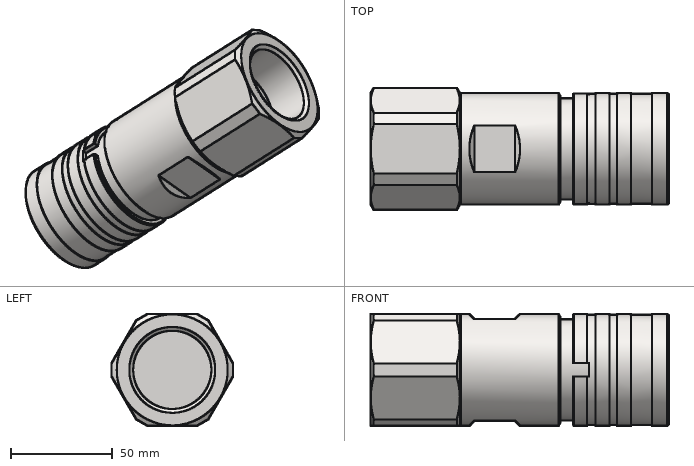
import cadquery as cq
import math

length = 146.8
outer_dia = 55.0
outer_radius = outer_dia / 2
clearance = 1.5
clear_dia = outer_dia + 2 * clearance

hex_length = 44
hex_corner_dia = 59.9
hex_face_radius = 27.3
hex_chamfer_angle = 30
hex_ratio = math.cos(math.radians(30))

bore_dia = 38.5
bore_mouth_dia = 42.3
bore_mouth_depth = 1.6
bore_depth = 22

body_end = 93.4
body_start_chamfer = 0.6
body_end_chamfer_length = 0.9
body_end_chamfer_depth = 1.6
flat_across = 50.1
flat_start = 51.1
flat_length = 20.0

neck_dia = 50

sleeve_start = 99.5
sleeve_start_chamfer = 0.6
sleeve_end_chamfer = 0.9
groove_dia = 54.3
groove_spans = [(106.6, 110.7), (117.5, 121.3), (128.0, 138.5)]

slot_width = 6.8
slot_end = 107.5


def turned(points):
    """Solid of revolution about the X axis from a closed (x, radius) outline."""
    return cq.Workplane("XY").polyline(points).close().revolve(360, (0, 0, 0), (1, 0, 0))


def hex_prism(across_corners):
    """Hexagonal prism along X with two corners on the Y axis."""
    return cq.Workplane("YZ").polygon(6, across_corners).extrude(hex_length)


def cylinder(start, end, dia):
    """Solid cylinder on the X axis."""
    return cq.Workplane("YZ").workplane(offset=start).circle(dia / 2).extrude(end - start)


def ring(start, end, inner_dia):
    """Tube on the X axis that reaches past the outside of the part."""
    return cylinder(start, end, clear_dia).cut(cylinder(start, end, inner_dia))


def hex_end():
    """Hexagon with flats facing Z, corners trimmed flat and both ends turned to a cone."""
    full_corner_dia = outer_dia / hex_ratio
    prism = hex_prism(full_corner_dia)
    trim = hex_prism(hex_corner_dia / hex_ratio).rotate((0, 0, 0), (1, 0, 0), 30)
    blank_radius = full_corner_dia / 2
    cone_length = (blank_radius - hex_face_radius) * math.tan(math.radians(hex_chamfer_angle))
    envelope = turned([
        (0, 0),
        (0, hex_face_radius),
        (cone_length, blank_radius),
        (hex_length - cone_length, blank_radius),
        (hex_length, hex_face_radius),
        (hex_length, 0),
    ])
    return prism.intersect(trim).intersect(envelope)


def body():
    """Plain cylinder, chamfered at both ends."""
    return turned([
        (hex_length, 0),
        (hex_length, outer_radius - body_start_chamfer),
        (hex_length + body_start_chamfer, outer_radius),
        (body_end - body_end_chamfer_length, outer_radius),
        (body_end, outer_radius - body_end_chamfer_depth),
        (body_end, 0),
    ])


def sleeve():
    """Locking sleeve with chamfered ends and shallow grooves."""
    part = (
        cylinder(sleeve_start, length, outer_dia)
        .faces("<X").chamfer(sleeve_start_chamfer)
        .faces(">X").chamfer(sleeve_end_chamfer)
    )
    for start, end in groove_spans:
        part = part.cut(ring(start, end, groove_dia))
    return part


def key_slots():
    """Slots facing -Y and +Y, as deep as the neck."""
    band = ring(sleeve_start, slot_end, neck_dia)
    bar_length = slot_end - sleeve_start
    bar = cq.Workplane("XY").box(bar_length, 2 * outer_dia, slot_width)
    return band.intersect(bar.translate((sleeve_start + bar_length / 2, 0, 0)))


def spanner_flats():
    """Cuts for the top and bottom flats, with 45 degree run-outs."""
    flat_height = flat_across / 2
    flat_end = flat_start + flat_length
    rise = outer_radius - flat_height + clearance
    top = (
        cq.Workplane("XZ")
        .moveTo(flat_start, flat_height)
        .lineTo(flat_end, flat_height)
        .lineTo(flat_end + rise, flat_height + rise)
        .lineTo(flat_start - rise, flat_height + rise)
        .close()
        .extrude(outer_radius, both=True)
    )
    return top.union(top.mirror("XY"))


def bore():
    """Blind bore with a chamfered mouth."""
    return turned([
        (0, 0),
        (0, bore_mouth_dia / 2),
        (bore_mouth_depth, bore_dia / 2),
        (bore_depth, bore_dia / 2),
        (bore_depth, 0),
    ])


result = (
    body()
    .cut(spanner_flats())
    .union(hex_end())
    .union(cylinder(body_end, sleeve_start, neck_dia))
    .union(sleeve())
    .cut(key_slots())
    .cut(bore())
)